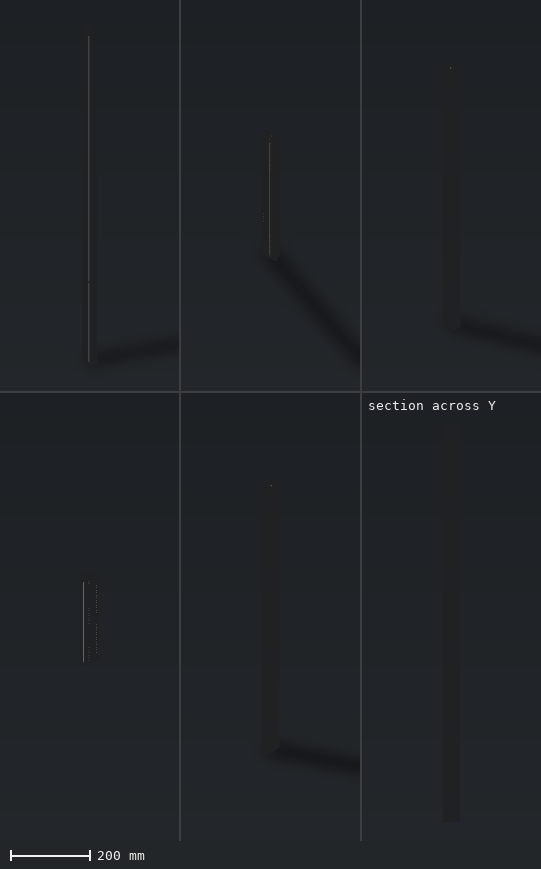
import cadquery as cq
import math

CELL = 20.0
LENGTH = 1000.0
HALF = CELL / 2
CELL_CENTERS = (-HALF, HALF)
CORNER_RADIUS = 1.5

MOUTH_HALF = 2.45
BEVEL_HALF = 3.45
BEVEL_ANGLE = 5.6
BEVEL_DEPTH = (BEVEL_HALF - MOUTH_HALF) * math.tan(math.radians(BEVEL_ANGLE))
LIP_THICKNESS = 2.2
POCKET_HALF = 5.5
POCKET_STRAIGHT = 1.5
FLOOR_HALF = 2.9
SLOT_DEPTH = 6.0
NOTCH_HALF = 0.75
NOTCH_DEPTH = 0.25

CAVITY_WIDTH = 7.5
CAVITY_WALL = 1.6
CAVITY_HEIGHT = CELL - 2 * CAVITY_WALL
CAVITY_RADIUS = 0.9
BORE_DIAMETER = 4.3

GROOVE_WIDTH = 1.5
GROOVE_DEPTH = 0.4


def bar(width, height, x=0.0, y=0.0):
    """Rectangular bar over the full length, centred on (x, y)."""
    return cq.Workplane("XY").center(x, y).rect(width, height).extrude(LENGTH)


def slot(x, y, angle):
    """T-slot with its mouth centred on (x, y); at angle 0 it runs inward along +Y."""
    right_side = [
        (BEVEL_HALF, 0),
        (MOUTH_HALF, BEVEL_DEPTH),
        (MOUTH_HALF, LIP_THICKNESS),
        (POCKET_HALF, LIP_THICKNESS),
        (POCKET_HALF, LIP_THICKNESS + POCKET_STRAIGHT),
        (FLOOR_HALF, SLOT_DEPTH),
        (NOTCH_HALF, SLOT_DEPTH),
        (NOTCH_HALF, SLOT_DEPTH + NOTCH_DEPTH),
    ]
    left_side = [(-across, depth) for across, depth in reversed(right_side)]
    cutter = cq.Workplane("XY").polyline(right_side + left_side).close().extrude(LENGTH)
    return cutter.rotate((0, 0, 0), (0, 0, 1), angle).translate((x, y, 0))


def bore(x):
    return cq.Workplane("XY").center(x, 0).circle(BORE_DIAMETER / 2).extrude(LENGTH)


result = bar(2 * CELL, CELL).edges("|Z").fillet(CORNER_RADIUS)

for cell_x in CELL_CENTERS:
    result = result.cut(slot(cell_x, -HALF, 0))
    result = result.cut(slot(cell_x, HALF, 180))
    result = result.cut(bore(cell_x))

result = result.cut(slot(-CELL, 0, -90))
result = result.cut(slot(CELL, 0, 90))

result = result.cut(bar(CAVITY_WIDTH, CAVITY_HEIGHT).edges("|Z").fillet(CAVITY_RADIUS))
for face_y in (-HALF, HALF):
    result = result.cut(bar(GROOVE_WIDTH, 2 * GROOVE_DEPTH, y=face_y))